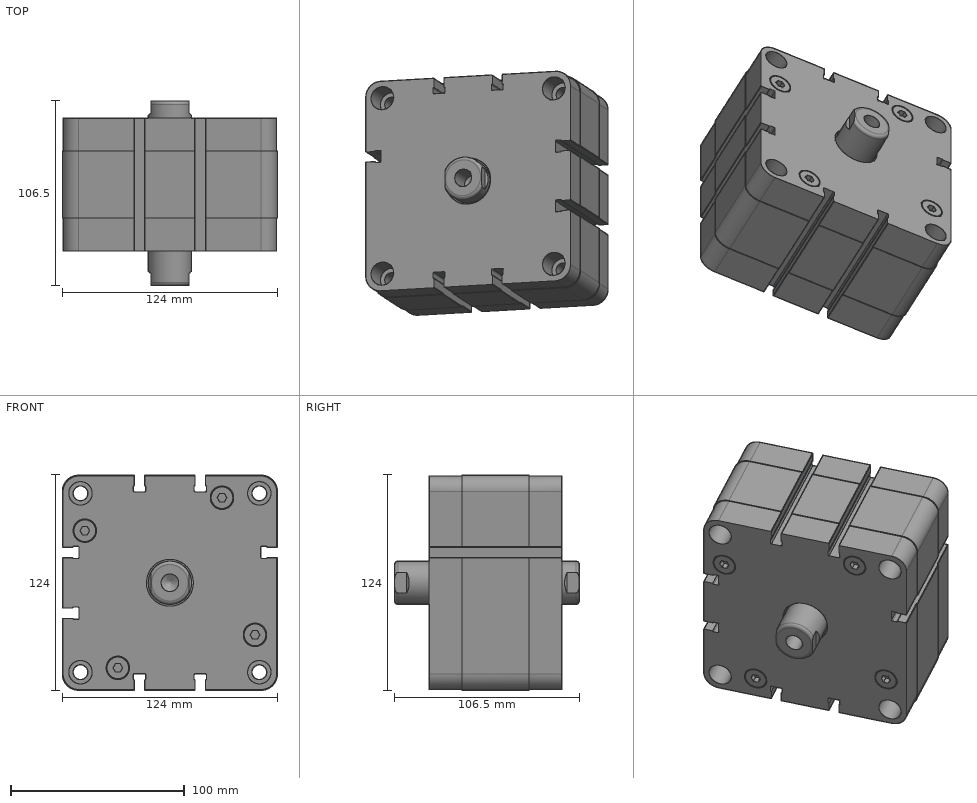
import cadquery as cq
import math

BARREL_SIDE = 124.0
BARREL_LENGTH = 38.5
BARREL_CORNER_RADIUS = 9.5
CAP_SIDE = 123.0
CAP_LENGTH = 19.0
CAP_CORNER_RADIUS = 9.0
BODY_LENGTH = BARREL_LENGTH + 2 * CAP_LENGTH
FRONT_FACE_Y = -BODY_LENGTH / 2
REAR_FACE_Y = BODY_LENGTH / 2

SLOT_OFFSET = 17.5
SLOT_NECK_WIDTH = 5.9
SLOT_FLOOR_WIDTH = 7.0
SLOT_NECK_DEPTH = 6.0
SLOT_DEPTH = 9.6
SLOT_CORNER_RADIUS = 0.6
SLOT_MOUTH_CHAMFER = 0.3
SLOT_PLACES = [
    (0, -SLOT_OFFSET), (0, SLOT_OFFSET),
    (180, -SLOT_OFFSET), (180, SLOT_OFFSET),
    (-90, -SLOT_OFFSET), (-90, SLOT_OFFSET),
    (90, -SLOT_OFFSET),
]

MOUNT_OFFSET = 51.5
MOUNT_HOLE_DIAMETER = 8.38
MOUNT_BORE_DIAMETER = 13.5
MOUNT_BORE_DEPTH = CAP_LENGTH

SCREW_NEAR_OFFSET = 30.0
SCREW_FAR_OFFSET = 49.0
SCREW_BORE_DIAMETER = 13.5
SCREW_HEAD_DIAMETER = 12.5
SCREW_GAP_DEPTH = 5.0
SCREW_SOCKET_ACROSS_FLATS = 4.8
SCREW_SOCKET_DEPTH = 4.0
HEX_SIDES = 6
SCREW_COUNT = 4

ROD_DIAMETER = 25.0
ROD_FRONT_LENGTH = 20.0
ROD_REAR_LENGTH = 10.0
ROD_TIP_RADIUS = 2.0
ROD_FLAT_WIDTH = 22.0
ROD_FLAT_LENGTH = 7.0
ROD_HOLE_DIAMETER = 10.11
ROD_HOLE_DEPTH = 20.0
DRILL_POINT_ANGLE = 118.0
ROD_GAP_DIAMETER = 27.0
ROD_GAP_DEPTH = 2.0


def cylinder(diameter, y_start, y_end, x=0.0, z=0.0):
    axis = cq.Vector(0, math.copysign(1, y_end - y_start), 0)
    solid = cq.Solid.makeCylinder(diameter / 2, abs(y_end - y_start), cq.Vector(x, y_start, z), axis)
    return cq.Workplane(obj=solid)


def slot_cutter(block_side, turn, offset):
    """Slot along Y, measured down from the barrel side, with a chamfer at the block's own side."""
    top = BARREL_SIDE / 2
    floor_height = SLOT_DEPTH - SLOT_NECK_DEPTH
    floor_middle = top - (SLOT_NECK_DEPTH + SLOT_DEPTH) / 2
    neck = (
        cq.Workplane("XY")
        .box(SLOT_NECK_WIDTH, BODY_LENGTH, SLOT_DEPTH)
        .translate((offset, 0, top - SLOT_DEPTH / 2))
    )
    floor = (
        cq.Workplane("XY")
        .box(SLOT_FLOOR_WIDTH, BODY_LENGTH, floor_height)
        .edges("|Y")
        .fillet(SLOT_CORNER_RADIUS)
        .translate((offset, 0, floor_middle))
    )
    surface = block_side / 2
    half_neck = SLOT_NECK_WIDTH / 2
    half_mouth = half_neck + SLOT_MOUTH_CHAMFER
    mouth = (
        cq.Workplane("XZ")
        .moveTo(offset - half_neck, surface - SLOT_MOUTH_CHAMFER)
        .lineTo(offset - half_mouth, surface)
        .lineTo(offset + half_mouth, surface)
        .lineTo(offset + half_neck, surface - SLOT_MOUTH_CHAMFER)
        .close()
        .extrude(BODY_LENGTH / 2, both=True)
    )
    return neck.union(floor).union(mouth).rotate((0, 0, 0), (0, 1, 0), turn)


def slotted_block(side, length, corner_radius):
    block = cq.Workplane("XY").box(side, length, side).edges("|Y").fillet(corner_radius)
    for turn, offset in SLOT_PLACES:
        block = block.cut(slot_cutter(side, turn, offset))
    return block


def make_body():
    caps = slotted_block(CAP_SIDE, BODY_LENGTH, CAP_CORNER_RADIUS)
    return caps.union(slotted_block(BARREL_SIDE, BARREL_LENGTH, BARREL_CORNER_RADIUS))


def cut_mounting_holes(body):
    front_bore_end = FRONT_FACE_Y + MOUNT_BORE_DEPTH
    rear_bore_end = REAR_FACE_Y - MOUNT_BORE_DEPTH
    for x in (-MOUNT_OFFSET, MOUNT_OFFSET):
        for z in (-MOUNT_OFFSET, MOUNT_OFFSET):
            body = body.cut(cylinder(MOUNT_HOLE_DIAMETER, FRONT_FACE_Y, REAR_FACE_Y, x, z))
            body = body.cut(cylinder(MOUNT_BORE_DIAMETER, FRONT_FACE_Y, front_bore_end, x, z))
            body = body.cut(cylinder(MOUNT_BORE_DIAMETER, REAR_FACE_Y, rear_bore_end, x, z))
    return body


def hex_socket_cutter(x, z):
    """Hexagonal prism with its flats facing up and down."""
    corner_diameter = SCREW_SOCKET_ACROSS_FLATS / math.cos(math.pi / HEX_SIDES)
    return (
        cq.Workplane("XZ", origin=(x, FRONT_FACE_Y, z))
        .polygon(HEX_SIDES, corner_diameter)
        .extrude(-SCREW_SOCKET_DEPTH)
    )


def cut_screws(body):
    gap_end = FRONT_FACE_Y + SCREW_GAP_DEPTH
    x = SCREW_NEAR_OFFSET
    z = SCREW_FAR_OFFSET
    for _ in range(SCREW_COUNT):
        bore = cylinder(SCREW_BORE_DIAMETER, FRONT_FACE_Y, gap_end, x, z)
        head = cylinder(SCREW_HEAD_DIAMETER, FRONT_FACE_Y, gap_end, x, z)
        body = body.cut(bore.cut(head)).cut(hex_socket_cutter(x, z))
        x, z = z, -x
    return body


def make_rod_end(face_y, length, direction):
    """Rod end from a body face outward; direction is -1 for the front, +1 for the rear."""
    tip_y = face_y + direction * length
    radius = ROD_DIAMETER / 2
    root_y = face_y - direction * ROD_GAP_DEPTH
    rod = (
        cylinder(ROD_DIAMETER, root_y, tip_y)
        .edges(">Y" if direction > 0 else "<Y")
        .fillet(ROD_TIP_RADIUS)
    )
    flat_x = ROD_FLAT_WIDTH / 2
    runout = radius - flat_x
    flat_end = tip_y - direction * ROD_FLAT_LENGTH
    for side in (-1, 1):
        flat = (
            cq.Workplane("XY")
            .moveTo(side * flat_x, tip_y)
            .lineTo(side * flat_x, flat_end)
            .lineTo(side * radius, flat_end - direction * runout)
            .lineTo(side * radius, tip_y)
            .close()
            .extrude(radius, both=True)
        )
        rod = rod.cut(flat)
    return rod


def rod_hole_cutter(tip_y, direction):
    """Blind hole with a drill point, entering the rod at tip_y."""
    radius = ROD_HOLE_DIAMETER / 2
    bottom_y = tip_y - direction * ROD_HOLE_DEPTH
    point_length = radius / math.tan(math.radians(DRILL_POINT_ANGLE / 2))
    return (
        cq.Workplane("XY")
        .moveTo(0, tip_y)
        .lineTo(radius, tip_y)
        .lineTo(radius, bottom_y)
        .lineTo(0, bottom_y - direction * point_length)
        .close()
        .revolve(360, (0, 0, 0), (0, 1, 0))
    )


result = make_body()
result = cut_mounting_holes(result)
result = cut_screws(result)
for end_y, rod_length, outward in (
    (FRONT_FACE_Y, ROD_FRONT_LENGTH, -1),
    (REAR_FACE_Y, ROD_REAR_LENGTH, 1),
):
    result = result.cut(cylinder(ROD_GAP_DIAMETER, end_y, end_y - outward * ROD_GAP_DEPTH))
    result = result.union(make_rod_end(end_y, rod_length, outward))
    result = result.cut(rod_hole_cutter(end_y + outward * rod_length, outward))